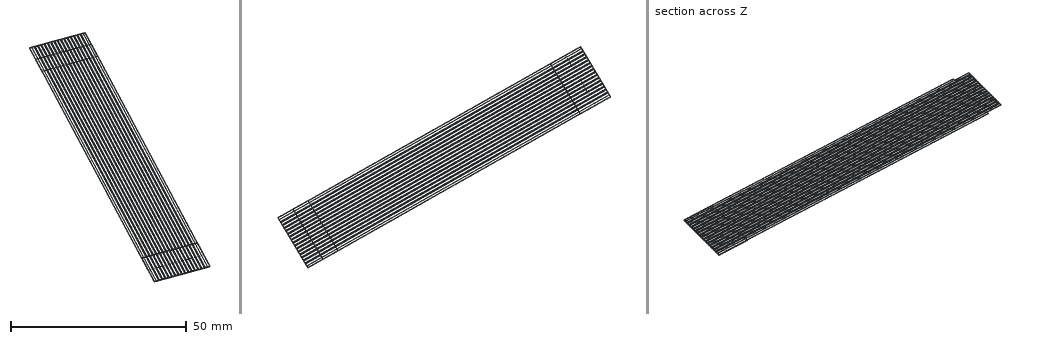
import cadquery as cq


length = 100.0
width = 17.0
height = 0.59

film_thickness = 0.044
conductor_thickness = 0.05
body_thickness = 2 * film_thickness + conductor_thickness
stiffener_thickness = (height - body_thickness) / 2

conductor_count = 16
conductor_pitch = 1.0
conductor_width = 0.7

exposed_length = 5.0
stiffener_length = 10.0

lower_film_z = stiffener_thickness
conductor_z = lower_film_z + film_thickness
upper_film_z = conductor_z + conductor_thickness
upper_stiffener_z = upper_film_z + film_thickness


def strip(x_start, x_end, strip_width, z_bottom, thickness, y_center=0.0):
    """A flat rectangular strip running along X."""
    return cq.Workplane("XY").box(
        x_end - x_start, strip_width, thickness, centered=(False, True, False)
    ).translate((x_start, y_center, z_bottom))


def add_conductors(body):
    """Full-length conductors, evenly spaced about the centre line with open gaps between them."""
    first_y = -(conductor_count - 1) * conductor_pitch / 2
    for index in range(conductor_count):
        y_center = first_y + index * conductor_pitch
        body = body.union(
            strip(0, length, conductor_width, conductor_z, conductor_thickness, y_center)
        )
    return body


lower_film = strip(0, length - exposed_length, width, lower_film_z, film_thickness)
upper_film = strip(exposed_length, length, width, upper_film_z, film_thickness)

lower_stiffener = strip(0, stiffener_length, width, 0, stiffener_thickness)
upper_stiffener = strip(
    length - stiffener_length, length, width, upper_stiffener_z, stiffener_thickness
)

result = add_conductors(lower_film)
result = result.union(upper_film)
result = result.union(lower_stiffener)
result = result.union(upper_stiffener)